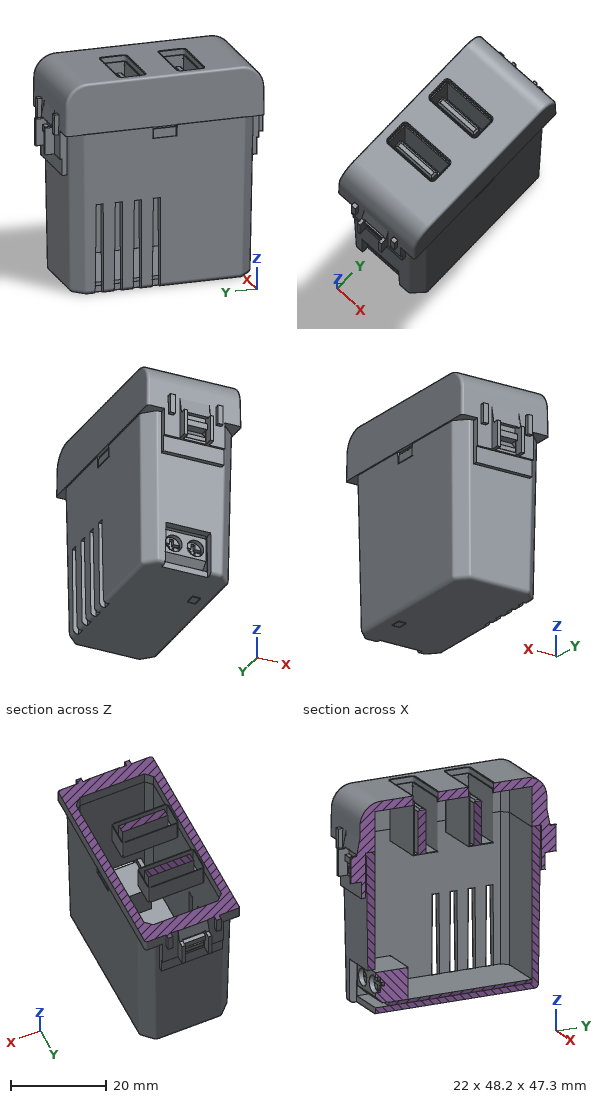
import cadquery as cq
import math


COVER_HALF_X = 11.0
COVER_HALF_Y = 22.05
COVER_HEIGHT = 11.1
COVER_TAPER = 0.75
COVER_END_RADIUS = 4.9
COVER_EDGE_RADIUS = 0.6
COVER_ROOF = 2.2

HOUSING_HALF_X = 10.7
HOUSING_HALF_Y = 20.5
HOUSING_DEPTH = 35.95
HOUSING_TAPER = 0.85
CORNER_CHAMFER = 2.65
CORNER_RADIUS = 0.75
BASE_RADIUS = 0.9
FLOOR_THICKNESS = 1.4
CAVITY_HALF_X = 8.9
CAVITY_HALF_Y = 18.3
CAVITY_CHAMFER = 1.45
FLOOR_Z = FLOOR_THICKNESS - HOUSING_DEPTH
BELOW_BASE = -HOUSING_DEPTH - 0.5

PAD_SIZE_X = 1.9
PAD_SIZE_Y = 2.5
PAD_HEIGHT = 0.2
PAD_X = 6.35
PAD_Y = -8.65

SLOT_COUNT = 4
SLOT_PITCH = 4.218
FIRST_SLOT_Y = 1.75
SLOT_TOP_Z = -16.0
SLOT_TOP_WIDTH = 1.55
SLOT_FLARE = 0.3

SNAP_HALF_WIDTH = 2.7
SNAP_HEIGHT = 2.6
SNAP_DEPTH = 0.5
CATCH_HALF_WIDTH = 2.5
CATCH_TOP_Z = -0.6
CATCH_PROUD = 0.3

PLATE_HALF_WIDTH = 7.05
PLATE_STEP_Z = -6.25
PLATE_BOTTOM_Z = -9.95
PLATE_UPPER_Y = COVER_HALF_Y
PLATE_LOWER_Y = 21.55
LATCH_ROOT_Y = 20.55
RIB_WIDTH = 1.15
RIB_X = 5.6
RIB_TOP_Z = 3.33
RIB_BOTTOM_Z = -1.1
RIB_Y = 23.0
ARM_OUTER_X = 3.4
ARM_INNER_X = 2.65
ARM_TOP_Z = -0.35
ARM_Y = 24.1
RAMP_TOP_Z = RIB_TOP_Z
RAMP_Y = 22.65
BAR_TOP_Z = -1.65
BAR_BOTTOM_Z = -3.05
BARB_HALF_WIDTH = 2.5
BARB_SLOPE_END_Z = -4.65
BARB_Y = 21.95
WINDOW_BOTTOM_Z = -5.65
BAR_RECESS_Y = 21.7

SOCKET_X = -2.1
SOCKET_Y = 6.5
SOCKET_LENGTH = 13.1
SOCKET_WIDTH = 5.75
SOCKET_WALL = 0.3
SOCKET_CORNER = 0.67
SOCKET_RECESS = 1.3
SOCKET_DEPTH = 12.05
SOCKET_TOP_Z = COVER_HEIGHT - SOCKET_RECESS
OPENING_BEVEL = 0.25
BEVEL_DEPTH = 0.1
TONGUE_LENGTH = 10.55
TONGUE_WIDTH = 1.95
TONGUE_OFFSET_Y = -0.8
TONGUE_TOP_GAP = 1.95
TONGUE_CHAMFER = 0.5

BOARD_THICKNESS = 0.75
BOARD_TOP_Z = FLOOR_Z + BOARD_THICKNESS
BOARD_FRONT_Y = -15.2
TERMINAL_X = -0.55
TERMINAL_WIDTH = 9.95
TERMINAL_TOP_Z = -26.75
TERMINAL_SLOPE_Z = -32.15
TERMINAL_FRONT_Y = -CAVITY_HALF_Y
TERMINAL_FOOT_Y = -16.6
TERMINAL_BACK_Y = -10.6
CHEEK_THICKNESS = 0.95
CHEEK_CLEARANCE = 0.25
WINDOW_TOP_Z = -26.12
WINDOW_TOP_WIDTH = 10.4
WINDOW_FLARE = 0.3
SCREW_SPACING = 5.0
SCREW_Z = -29.6
SCREW_HOLE_DIAMETER = 3.8
SCREW_HOLE_DEPTH = 1.15
CROSS_DEPTH = 0.95
CROSS_LENGTH_X = 3.75
CROSS_LENGTH_Z = 3.0
CROSS_BAR_X = 0.85
CROSS_BAR_Z = 0.7


def block(x0, x1, y0, y1, z0, z1):
    """Axis-aligned box between two opposite corners."""
    return cq.Workplane("XY").box(x1 - x0, y1 - y0, z1 - z0, centered=False).translate((x0, y0, z0))


def flared_outline(workplane, centre, top_z, top_width, flare):
    """Outline of a cut that widens downwards and opens through the base."""
    half_top = top_width / 2
    half_base = half_top + flare / 2
    return workplane.polyline([
        (centre - half_top, top_z),
        (centre + half_top, top_z),
        (centre + half_base, BELOW_BASE),
        (centre - half_base, BELOW_BASE),
    ]).close()


def cavity(z0, z1):
    room = block(-CAVITY_HALF_X, CAVITY_HALF_X, -CAVITY_HALF_Y, CAVITY_HALF_Y, z0, z1)
    return room.edges("|Z").chamfer(CAVITY_CHAMFER)


def housing_envelope():
    """Outer shape of the housing: a tapered box with bevelled corners."""
    tapered = (
        cq.Workplane("XY")
        .rect(2 * HOUSING_HALF_X, 2 * HOUSING_HALF_Y)
        .extrude(-HOUSING_DEPTH, taper=HOUSING_TAPER)
        .edges("not(#Z)")
        .chamfer(CORNER_CHAMFER)
        .edges("not(#Z)")
        .fillet(CORNER_RADIUS)
    )
    return tapered.faces("<Z").edges().fillet(BASE_RADIUS)


def snap_pocket(housing, side):
    """Pocket with a raised catch at the rim of one ±X wall."""
    floor_x = HOUSING_HALF_X - SNAP_DEPTH
    pocket = block(
        floor_x, HOUSING_HALF_X + 0.5, -SNAP_HALF_WIDTH, SNAP_HALF_WIDTH, -SNAP_HEIGHT, 0
    )
    catch = block(
        floor_x - SNAP_DEPTH, floor_x + CATCH_PROUD,
        -CATCH_HALF_WIDTH, CATCH_HALF_WIDTH, -SNAP_HEIGHT, CATCH_TOP_Z,
    )
    if side < 0:
        pocket = pocket.mirror("YZ")
        catch = catch.mirror("YZ")
    return housing.cut(pocket).union(catch)


def terminal_cheeks():
    """Inner walls that close the terminal window at both ends of the terminal block."""
    half_width = TERMINAL_WIDTH / 2 + CHEEK_CLEARANCE
    walls = block(
        TERMINAL_X - half_width - CHEEK_THICKNESS, TERMINAL_X + half_width + CHEEK_THICKNESS,
        -CAVITY_HALF_Y, BOARD_FRONT_Y, FLOOR_Z, WINDOW_TOP_Z,
    )
    gap = block(
        TERMINAL_X - half_width, TERMINAL_X + half_width,
        -CAVITY_HALF_Y, BOARD_FRONT_Y, FLOOR_Z, WINDOW_TOP_Z,
    )
    return walls.cut(gap)


def make_housing():
    housing = housing_envelope().cut(cavity(FLOOR_Z, 0.5))
    for number in range(SLOT_COUNT):
        slot_y = FIRST_SLOT_Y + number * SLOT_PITCH
        outline = flared_outline(cq.Workplane("YZ"), slot_y, SLOT_TOP_Z, SLOT_TOP_WIDTH, SLOT_FLARE)
        slot = outline.extrude(HOUSING_HALF_X - CAVITY_HALF_X).translate((-HOUSING_HALF_X, 0, 0))
        housing = housing.cut(slot)
    outline = flared_outline(
        cq.Workplane("XZ"), TERMINAL_X, WINDOW_TOP_Z, WINDOW_TOP_WIDTH, WINDOW_FLARE
    )
    housing = housing.cut(outline.extrude(HOUSING_HALF_Y).translate((0, -CAVITY_HALF_Y, 0)))
    for side in (-1, 1):
        housing = snap_pocket(housing, side)
    pad = block(
        PAD_X - PAD_SIZE_X / 2, PAD_X + PAD_SIZE_X / 2,
        PAD_Y - PAD_SIZE_Y / 2, PAD_Y + PAD_SIZE_Y / 2,
        -HOUSING_DEPTH - PAD_HEIGHT, FLOOR_Z,
    )
    return housing.union(pad).union(terminal_cheeks())


def cover_shell():
    shell = (
        cq.Workplane("XY")
        .rect(2 * COVER_HALF_X, 2 * COVER_HALF_Y)
        .extrude(COVER_HEIGHT, taper=COVER_TAPER)
    )
    shell = shell.faces(">Z").edges("|X").fillet(COVER_END_RADIUS)
    for face in ("<X", ">X"):
        shell = shell.faces(face).edges("not(<Z)").fillet(COVER_EDGE_RADIUS)
    return shell.cut(cavity(-0.5, COVER_HEIGHT - COVER_ROOF))


def make_latch():
    """Latch of the +Y end: stepped plate, ramp, bar, barb, arms and ribs."""
    upper_plate = block(
        -PLATE_HALF_WIDTH, PLATE_HALF_WIDTH, LATCH_ROOT_Y, PLATE_UPPER_Y, PLATE_STEP_Z, 0
    )
    lower_plate = block(
        -PLATE_HALF_WIDTH, PLATE_HALF_WIDTH, LATCH_ROOT_Y, PLATE_LOWER_Y, PLATE_BOTTOM_Z, PLATE_STEP_Z
    )
    ramp_start_y = COVER_HALF_Y - RAMP_TOP_Z * math.tan(math.radians(COVER_TAPER))
    ramp_slope = (RAMP_Y - ramp_start_y) / RAMP_TOP_Z
    ramp = (
        cq.Workplane("YZ")
        .polyline([
            (LATCH_ROOT_Y, ARM_TOP_Z),
            (RAMP_Y - ramp_slope * ARM_TOP_Z, ARM_TOP_Z),
            (ramp_start_y, RAMP_TOP_Z),
            (LATCH_ROOT_Y, RAMP_TOP_Z),
        ])
        .close()
        .extrude(ARM_OUTER_X, both=True)
    )
    recess = block(-ARM_INNER_X, ARM_INNER_X, BAR_RECESS_Y, ARM_Y, BAR_TOP_Z, 0)
    bar = block(-ARM_INNER_X, ARM_INNER_X, LATCH_ROOT_Y, RAMP_Y, BAR_BOTTOM_Z, BAR_TOP_Z)
    window = block(
        -BARB_HALF_WIDTH, BARB_HALF_WIDTH, LATCH_ROOT_Y, ARM_Y, WINDOW_BOTTOM_Z, BAR_BOTTOM_Z
    )
    barb = (
        cq.Workplane("YZ")
        .polyline([
            (LATCH_ROOT_Y, WINDOW_BOTTOM_Z),
            (BARB_Y, WINDOW_BOTTOM_Z),
            (BARB_Y, BARB_SLOPE_END_Z),
            (LATCH_ROOT_Y, BAR_BOTTOM_Z),
        ])
        .close()
        .extrude(BARB_HALF_WIDTH, both=True)
    )
    latch = upper_plate.union(lower_plate).union(ramp).cut(recess).union(bar).cut(window).union(barb)
    arm = block(ARM_INNER_X, ARM_OUTER_X, LATCH_ROOT_Y, ARM_Y, PLATE_STEP_Z, ARM_TOP_Z)
    rib = block(
        RIB_X - RIB_WIDTH / 2, RIB_X + RIB_WIDTH / 2, LATCH_ROOT_Y, RIB_Y, RIB_BOTTOM_Z, RIB_TOP_Z
    )
    for piece in (arm, rib):
        latch = latch.union(piece).union(piece.mirror("YZ"))
    return latch


def make_cover():
    cover = cover_shell()
    latch = make_latch()
    cover = cover.union(latch).union(latch.mirror("XZ"))
    for socket_y in (-SOCKET_Y, SOCKET_Y):
        opening = (
            cq.Workplane("XY")
            .box(SOCKET_LENGTH, SOCKET_WIDTH, 2 * COVER_ROOF)
            .edges("|Z")
            .fillet(SOCKET_CORNER)
            .translate((SOCKET_X, socket_y, COVER_HEIGHT))
        )
        bevel = (
            cq.Workplane("XY", origin=(SOCKET_X, socket_y, COVER_HEIGHT))
            .sketch()
            .rect(SOCKET_LENGTH + 2 * OPENING_BEVEL, SOCKET_WIDTH + 2 * OPENING_BEVEL)
            .vertices()
            .fillet(SOCKET_CORNER + OPENING_BEVEL)
            .finalize()
            .extrude(-BEVEL_DEPTH, taper=math.degrees(math.atan2(OPENING_BEVEL, BEVEL_DEPTH)))
        )
        cover = cover.cut(opening).cut(bevel)
    return cover


def make_socket(socket_y):
    """Metal-shell USB socket with its contact tongue, opening upwards."""
    shell = (
        cq.Workplane("XY")
        .rect(SOCKET_LENGTH, SOCKET_WIDTH)
        .extrude(-SOCKET_DEPTH)
        .edges("|Z")
        .fillet(SOCKET_CORNER)
    )
    inside = (
        cq.Workplane("XY")
        .rect(SOCKET_LENGTH - 2 * SOCKET_WALL, SOCKET_WIDTH - 2 * SOCKET_WALL)
        .extrude(SOCKET_WALL - SOCKET_DEPTH)
    )
    tongue = (
        cq.Workplane("XY", origin=(0, TONGUE_OFFSET_Y, -SOCKET_DEPTH))
        .rect(TONGUE_LENGTH, TONGUE_WIDTH)
        .extrude(SOCKET_DEPTH - TONGUE_TOP_GAP)
        .faces(">Z")
        .chamfer(TONGUE_CHAMFER)
    )
    return shell.cut(inside).union(tongue).translate((SOCKET_X, socket_y, SOCKET_TOP_Z))


def make_board():
    """Board on the cavity floor, reaching from under the terminal block to the far end wall."""
    front = block(
        -CAVITY_HALF_X, CAVITY_HALF_X, -CAVITY_HALF_Y, BOARD_FRONT_Y, FLOOR_Z, BOARD_TOP_Z
    )
    return cavity(FLOOR_Z, BOARD_TOP_Z).cut(front)


def make_terminal():
    """Terminal block with an undercut front and two recessed cross-head screws."""
    terminal = (
        cq.Workplane("YZ")
        .polyline([
            (TERMINAL_FOOT_Y, BOARD_TOP_Z),
            (TERMINAL_FRONT_Y, TERMINAL_SLOPE_Z),
            (TERMINAL_FRONT_Y, TERMINAL_TOP_Z),
            (TERMINAL_BACK_Y, TERMINAL_TOP_Z),
            (TERMINAL_BACK_Y, BOARD_TOP_Z),
        ])
        .close()
        .extrude(TERMINAL_WIDTH / 2, both=True)
        .translate((TERMINAL_X, 0, 0))
    )
    hole_floor_y = TERMINAL_FRONT_Y + SCREW_HOLE_DEPTH
    for side in (-1, 1):
        screw_x = TERMINAL_X + side * SCREW_SPACING / 2
        face = cq.Workplane("XZ", origin=(screw_x, hole_floor_y, SCREW_Z))
        hole = face.circle(SCREW_HOLE_DIAMETER / 2).extrude(SCREW_HOLE_DEPTH)
        cross = face.rect(CROSS_LENGTH_X, CROSS_BAR_Z).extrude(-CROSS_DEPTH)
        cross = cross.union(face.rect(CROSS_BAR_X, CROSS_LENGTH_Z).extrude(-CROSS_DEPTH))
        terminal = terminal.cut(hole).cut(cross)
    return terminal


housing = make_housing()
cover = make_cover()
board = make_board()
terminal = make_terminal()
sockets = [make_socket(socket_y) for socket_y in (-SOCKET_Y, SOCKET_Y)]

result = cq.Compound.makeCompound([
    cover.val(),
    housing.val(),
    board.val(),
    terminal.val(),
    *[socket.val() for socket in sockets],
])